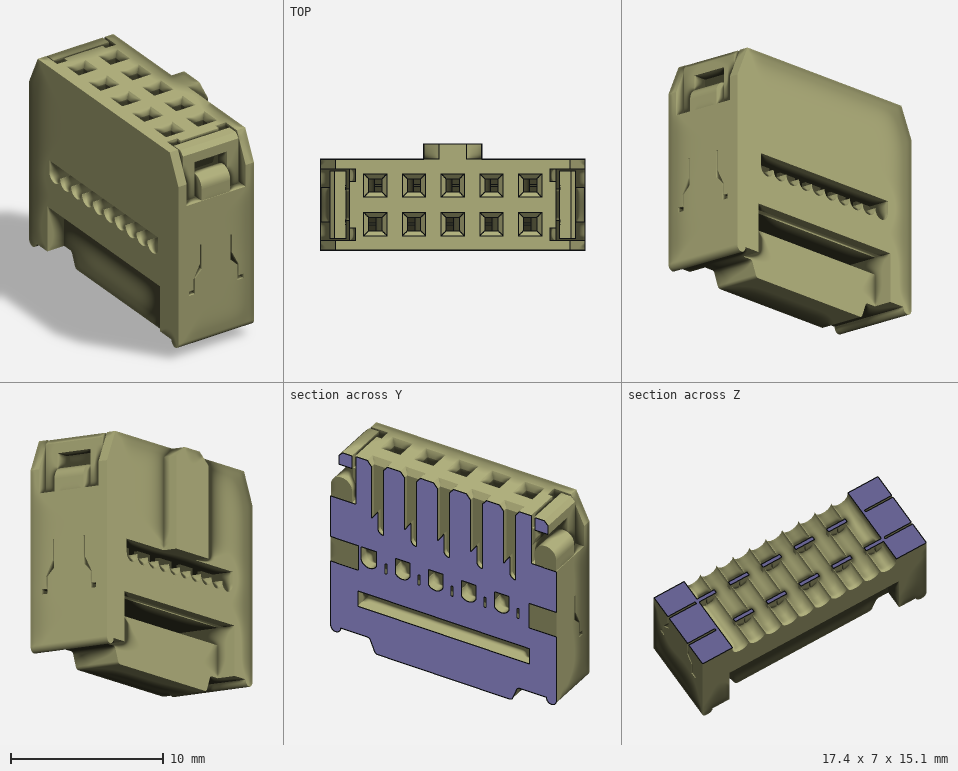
import cadquery as cq
import math

length = 17.4
depth = 6.0
height = 15.05
half_length = length / 2
half_depth = depth / 2
shoulder_run = 1.01
shoulder_drop = 2.14

body_bottom = 1.11
foot_radius = 0.4
foot_bottom = 0.7
leg_inner_x = 6.58
opening_top = 4.49

bar_top = 3.32
bar_depth = 3.32
bar_half_length_at_body = 5.7
bar_half_length_at_tip = 5.25
bar_fillet = 0.26

key_length = 3.83
key_depth = 1.0
key_flat = 1.77
key_chamfer_drop = 0.75
key_bottom = 8.05

contact_count = 5
contact_pitch = 2.54
row_y = contact_pitch / 2
socket_mouth = 1.53
socket_bore = 0.87
socket_bevel = 0.4
socket_floor = 9.57
finger_height = 1.74
finger_slope_drop = 0.7
finger_length = 0.49
finger_depth = 0.37

wire_pitch = contact_pitch / 2
wire_count = 2 * contact_count
wire_radius = 0.63
channel_top = key_bottom
channel_bottom = 6.61
blade_length = 1.48
blade_thickness = 0.3
blade_offset = 0.66
blade_slit_width = 0.12
blade_slit_top = 7.36

pocket_floor = 11.3
pocket_depth_y = 4.68
pocket_inner_x = 6.77
notch_length = 0.38
notch_depth_y = 0.82
notch_drop = 1.08

frame_top = height - 0.05
frame_outer_x = 8.07
frame_inner_x = 7.01
frame_depth_y = 4.42
frame_chamfer_x = 0.31
frame_chamfer_z = 0.38
window_depth_y = 2.55
window_top = height - notch_drop
hook_depth_y = 2.28
hook_top = 12.98
hook_radius = 0.82
hook_setback = 0.03
rib_depth_y = 2.05
rib_bevel_bottom = 12.62
rib_bottom = 13.22

joint_inner_y = 1.15
joint_outer_y = 1.27
joint_inner_bend_z = 6.18
joint_outer_bend_z = 6.66
joint_foot_bend_z = 5.64
groove_inner_y = 1.69
joint_foot_width = 0.1
groove_outer_y = 2.15
groove_top = 4.82


def box(x_range, y_range, z_range):
    """Box given by its lower and upper limits on each axis."""
    size = [high - low for low, high in (x_range, y_range, z_range)]
    corner = (x_range[0], y_range[0], z_range[0])
    return cq.Workplane("XY").box(*size, centered=False).translate(corner)


def centred_range(size, centre=0.0):
    return (centre - size / 2, centre + size / 2)


def extrude_along_y(profile, size):
    """Extrude an XZ outline, centred on Y = 0."""
    return profile.extrude(size / 2, both=True)


def both_ends(solid):
    return solid.union(solid.mirror("YZ"))


def centred_positions(count, pitch):
    return [(index - (count - 1) / 2) * pitch for index in range(count)]


def body_block():
    top_x = half_length - shoulder_run
    outline = [
        (-top_x, height),
        (top_x, height),
        (half_length, height - shoulder_drop),
        (half_length, body_bottom),
        (-half_length, body_bottom),
        (-half_length, height - shoulder_drop),
    ]
    body = extrude_along_y(cq.Workplane("XZ").polyline(outline).close(), depth)
    inner_x = half_length - 2 * foot_radius
    foot_centre_z = foot_bottom + foot_radius
    foot = (
        cq.Workplane("XZ")
        .moveTo(half_length, body_bottom)
        .lineTo(half_length, foot_centre_z)
        .threePointArc((half_length - foot_radius, foot_bottom), (inner_x, foot_centre_z))
        .lineTo(inner_x, body_bottom)
        .close()
    )
    opening = box((-leg_inner_x, leg_inner_x), (-half_depth, half_depth), (0, opening_top))
    return body.union(both_ends(extrude_along_y(foot, depth))).cut(opening)


def strain_relief_bar():
    outline = [
        (-leg_inner_x, bar_top),
        (leg_inner_x, bar_top),
        (leg_inner_x, body_bottom),
        (bar_half_length_at_body, body_bottom),
        (bar_half_length_at_tip, 0),
        (-bar_half_length_at_tip, 0),
        (-bar_half_length_at_body, body_bottom),
        (-leg_inner_x, body_bottom),
    ]
    bar = extrude_along_y(cq.Workplane("XZ").polyline(outline).close(), bar_depth)
    margin = 0.17
    zone_x = bar_half_length_at_body + margin
    tip_zone = cq.selectors.BoxSelector(
        (-zone_x, -half_depth, -margin),
        (zone_x, half_depth, body_bottom + margin),
    )
    return bar.edges("|Y").edges(tip_zone).fillet(bar_fillet)


def polarising_key():
    half_key = key_length / 2
    outline = [
        (-half_key, key_bottom),
        (half_key, key_bottom),
        (half_key, height - key_chamfer_drop),
        (key_flat / 2, height),
        (-key_flat / 2, height),
        (-half_key, height - key_chamfer_drop),
    ]
    key = cq.Workplane("XZ").polyline(outline).close().extrude(-key_depth)
    return key.translate((0, half_depth, 0))


def socket():
    """Bevelled square socket on the Z axis, with two contact fingers and a curved ramp on its floor."""
    mouth = (
        cq.Workplane("XY", origin=(0, 0, height))
        .rect(socket_mouth, socket_mouth)
        .workplane(offset=-socket_bevel)
        .rect(socket_bore, socket_bore)
        .loft(ruled=True)
    )
    bore = box(centred_range(socket_bore), centred_range(socket_bore), (socket_floor, height - socket_bevel))
    wall = socket_bore / 2
    finger_top = socket_floor + finger_height
    finger_outline = [
        (wall, socket_floor),
        (wall, finger_top - finger_slope_drop),
        (wall - finger_length, finger_top),
        (wall - finger_length, socket_floor),
    ]
    finger = cq.Workplane("XZ").polyline(finger_outline).close().extrude(-finger_depth)
    ramp_radius = socket_bore - finger_length
    ramp_mid = ramp_radius * math.sqrt(0.5)
    ramp_top = socket_floor + ramp_radius
    ramp = (
        cq.Workplane("XZ")
        .moveTo(-wall, socket_floor)
        .threePointArc((ramp_mid - wall, ramp_top - ramp_mid), (ramp_radius - wall, ramp_top))
        .lineTo(ramp_radius - wall, socket_floor)
        .close()
    )
    hollow = mouth.union(bore).cut(extrude_along_y(ramp, socket_bore))
    for start_y in (-wall, wall - finger_depth):
        hollow = hollow.cut(finger.translate((0, start_y, 0)))
    return hollow


def cut_sockets(body):
    rear = socket()
    front = rear.rotate((0, 0, 0), (0, 0, 1), 180)
    for x in centred_positions(contact_count, contact_pitch):
        body = body.cut(rear.translate((x, row_y, 0)))
        body = body.cut(front.translate((x, -row_y, 0)))
    return body


def contact_blade(x, y):
    blade = box(
        centred_range(blade_length, x),
        centred_range(blade_thickness, y),
        (channel_bottom, channel_top),
    )
    slit = box(
        centred_range(blade_slit_width, x),
        centred_range(blade_thickness, y),
        (channel_bottom, blade_slit_top),
    )
    return blade.cut(slit)


def wire_channels():
    """Scalloped opening through the depth, less the blades left standing in it."""
    centre_z = channel_bottom + wire_radius
    wires = centred_positions(wire_count, wire_pitch)
    end_x = wires[-1] + wire_radius
    channels = box((-end_x, end_x), (-half_depth, half_depth), (centre_z, channel_top))
    for x in wires:
        round_bottom = cq.Workplane("XZ").center(x, centre_z).circle(wire_radius)
        channels = channels.union(extrude_along_y(round_bottom, depth))
    for x in centred_positions(contact_count, contact_pitch):
        channels = channels.cut(contact_blade(x + blade_offset, -row_y))
        channels = channels.cut(contact_blade(x - blade_offset, row_y))
    return channels


def latch_pocket():
    """Pocket at the +X end, open to the top and to the end face."""
    half_pocket = pocket_depth_y / 2
    pocket = box((pocket_inner_x, half_length), (-half_pocket, half_pocket), (pocket_floor, height))
    for y_range in ((-half_pocket, notch_depth_y - half_pocket), (half_pocket - notch_depth_y, half_pocket)):
        notch = box((pocket_inner_x - notch_length, pocket_inner_x), y_range, (height - notch_drop, height))
        pocket = pocket.union(notch)
    return pocket


def latch():
    """Windowed frame, rounded hook and inner rib at the +X end."""
    frame_outline = [
        (frame_inner_x, pocket_floor),
        (frame_outer_x, pocket_floor),
        (frame_outer_x, height - frame_chamfer_z),
        (frame_outer_x - frame_chamfer_x, frame_top),
        (frame_inner_x, frame_top),
    ]
    frame = extrude_along_y(cq.Workplane("XZ").polyline(frame_outline).close(), frame_depth_y)
    window = box((frame_inner_x, frame_outer_x), centred_range(window_depth_y), (pocket_floor, window_top))

    hook_outer_x = half_length - hook_setback
    hook_inner_x = hook_outer_x - 2 * hook_radius
    round_z = hook_top - hook_radius
    hook = (
        cq.Workplane("XZ")
        .moveTo(hook_inner_x, pocket_floor)
        .lineTo(hook_outer_x, pocket_floor)
        .lineTo(hook_outer_x, round_z)
        .threePointArc((hook_outer_x - hook_radius, hook_top), (hook_inner_x, round_z))
        .close()
    )
    rib_outline = [
        (pocket_inner_x, rib_bevel_bottom),
        (frame_inner_x, rib_bottom),
        (frame_inner_x, window_top),
        (pocket_inner_x, window_top),
    ]
    rib = cq.Workplane("XZ").polyline(rib_outline).close()
    return (
        frame.cut(window)
        .union(extrude_along_y(hook, hook_depth_y))
        .union(extrude_along_y(rib, rib_depth_y))
    )


def joint_lines():
    """Bent slits in the leg at the +X end, one on each side of Y = 0."""
    foot_outer_y = groove_inner_y + joint_foot_width
    outline = [
        (joint_inner_y, channel_top),
        (joint_outer_y, channel_top),
        (joint_outer_y, joint_outer_bend_z),
        (foot_outer_y, joint_foot_bend_z),
        (foot_outer_y, opening_top),
        (groove_inner_y, opening_top),
        (groove_inner_y, joint_foot_bend_z),
        (joint_inner_y, joint_inner_bend_z),
    ]
    slit = cq.Workplane("YZ", origin=(leg_inner_x, 0, 0)).polyline(outline).close()
    slit = slit.extrude(half_length - leg_inner_x)
    return slit.union(slit.mirror("XZ"))


def cable_grooves():
    groove = box((-half_length, half_length), (groove_inner_y, groove_outer_y), (opening_top, groove_top))
    return groove.union(groove.mirror("XZ"))


result = body_block().union(strain_relief_bar()).union(polarising_key())
result = cut_sockets(result)
result = result.cut(wire_channels())
result = result.cut(both_ends(latch_pocket())).union(both_ends(latch()))
result = result.cut(both_ends(joint_lines())).cut(cable_grooves())